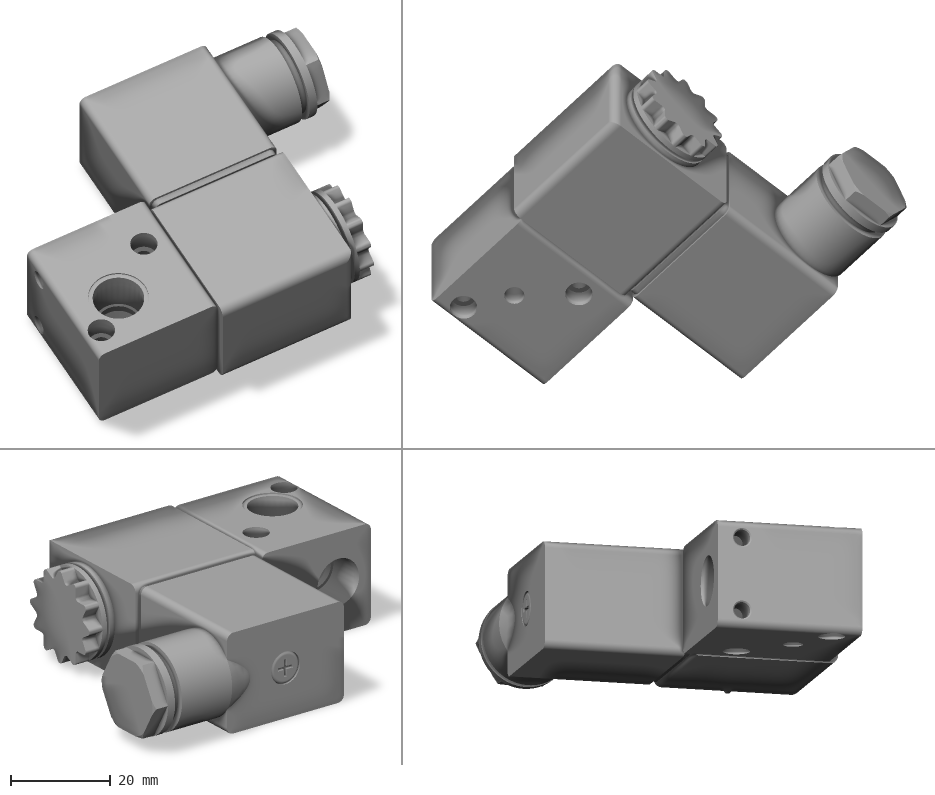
import cadquery as cq
import math


HEIGHT = 22.0
EDGE_RADIUS = 1.5
TOTAL_LENGTH = 62.4
TOTAL_DEPTH = 75.9
DRILL_TIP_HALF_ANGLE = 59.0
TOP = HEIGHT / 2

BODY_LENGTH = 30.0
BODY_DEPTH = 27.1
MOUNT_HOLE_DIAMETER = 3.4
MOUNT_BORE_DIAMETER = 5.5
MOUNT_BORE_DEPTH = 4.55
MOUNT_PLACES = [(9.6, 21.5), (24.5, 3.6)]
PORT_DIAMETER = 10.3
PORT_LEDGE_DIAMETER = 9.9
PORT_CORE_DIAMETER = 8.65
PORT_TAPER_DEPTH = 8.35
PORT_DEPTH = 9.9
SPOTFACE_DIAMETER = 12.15
SPOTFACE_DEPTH = 0.3
TOP_PORT_Y = 10.55
SIDE_PORT_Y = 8.1
PASSAGE_DIAMETER = 4.0
PASSAGE_Y = 12.5
FRONT_HOLE_DIAMETER = 3.9
FRONT_HOLE_CORE = 3.35
FRONT_HOLE_DEPTH = 6.1
FRONT_HOLE_X = 5.1
FRONT_HOLE_SPACING = 14.9

COIL_LEFT = 2.0
COIL_RIGHT = 32.2
COIL_DEPTH = 30.0
COIL_END_RADIUS = 1.75
COIL_BACK = BODY_DEPTH + COIL_DEPTH
NUT_X = 18.9
NUT_DIAMETER = 20.0
NUT_NECK_DIAMETER = 14.05
WASHER_THICKNESS = 1.2
NUT_NECK_LENGTH = 0.75
NUT_FLANGE_THICKNESS = 1.15
TOOTH_COUNT = 12
TOOTH_LENGTH = 3.3
TOOTH_DEPTH = 2.2
TOOTH_TIP_HALF_WIDTH = 0.45
TOOTH_FLANK_ANGLE = 30.0
TOOTH_ROUNDING = 0.6

CONNECTOR_LEFT = -28.5
CONNECTOR_RIGHT = 0.6
CONNECTOR_FRONT = 27.6
CONNECTOR_DEPTH = 29.1
CONNECTOR_BACK = CONNECTOR_FRONT + CONNECTOR_DEPTH
GASKET_INSET = 0.5
GLAND_DIAMETER = 18.75
GLAND_X = COIL_RIGHT - TOTAL_LENGTH + GLAND_DIAMETER / 2
GLAND_LENGTH = 12.45
GLAND_NECK_DIAMETER = 15.95
GLAND_NECK_LENGTH = 1.75
GLAND_FLANGE_THICKNESS = 1.75
GLAND_CONE_LENGTH = 5.8
HEX_SIDES = 6
HEX_HALF_SECTOR = 180 / HEX_SIDES
HEX_ACROSS_FLATS = 16.0
HEX_CHAMFER_DIAMETER = 17.0
HEX_CHAMFER_ANGLE = 30.0
SCREW_Y = CONNECTOR_FRONT + CONNECTOR_DEPTH / 2
SCREW_DIAMETER = 7.1
SCREW_ROUNDING = 0.75
SCREW_RECESS_DEPTH = 0.8
CROSS_LENGTH = 3.8
CROSS_WIDTH = 0.7
CROSS_DEPTH = 0.75


def block(left, right, front, back, height=HEIGHT):
    """Box centred on the middle height."""
    return (
        cq.Workplane("XY")
        .box(right - left, back - front, height, centered=False)
        .translate((left, front, -height / 2))
    )


def drum(x, start, length, diameter):
    """Cylinder along +Y on the middle height, starting at the given depth."""
    axis = cq.Vector(0, 1, 0)
    return cq.Workplane(cq.Solid.makeCylinder(diameter / 2, length, cq.Vector(x, start, 0), axis))


def tapered_bore(mouth, direction, mouth_diameter, inner_diameter, depth):
    """Cone frustum going in from the mouth along the direction."""
    return cq.Solid.makeCone(
        mouth_diameter / 2, inner_diameter / 2, depth, cq.Vector(*mouth), cq.Vector(*direction)
    )


def port(mouth, direction):
    """Tapered connection port whose narrower core ends in a drill point."""
    origin = cq.Vector(*mouth)
    axis = cq.Vector(*direction)
    radius = PORT_CORE_DIAMETER / 2
    tip_length = radius / math.tan(math.radians(DRILL_TIP_HALF_ANGLE))
    taper = tapered_bore(mouth, direction, PORT_DIAMETER, PORT_LEDGE_DIAMETER, PORT_TAPER_DEPTH)
    core = cq.Solid.makeCylinder(radius, PORT_DEPTH, origin, axis)
    tip = cq.Solid.makeCone(radius, 0, tip_length, origin + axis * PORT_DEPTH, axis)
    return cq.Workplane(taper.fuse(core).fuse(tip))


def make_valve_body():
    body = block(0, BODY_LENGTH, 0, BODY_DEPTH).edges("|X").fillet(EDGE_RADIUS)

    through = cq.Workplane("XY", origin=(0, 0, -TOP)).pushPoints(MOUNT_PLACES)
    body = body.cut(through.circle(MOUNT_HOLE_DIAMETER / 2).extrude(HEIGHT))
    for bottom in (TOP - MOUNT_BORE_DEPTH, -TOP):
        bores = cq.Workplane("XY", origin=(0, 0, bottom)).pushPoints(MOUNT_PLACES)
        body = body.cut(bores.circle(MOUNT_BORE_DIAMETER / 2).extrude(MOUNT_BORE_DEPTH))

    spotface_floor = TOP - SPOTFACE_DEPTH
    spotface = cq.Workplane("XY", origin=(NUT_X, TOP_PORT_Y, spotface_floor))
    body = body.cut(spotface.circle(SPOTFACE_DIAMETER / 2).extrude(SPOTFACE_DEPTH))
    body = body.cut(port((NUT_X, TOP_PORT_Y, spotface_floor), (0, 0, -1)))
    passage = cq.Workplane("XY", origin=(NUT_X, PASSAGE_Y, -TOP))
    body = body.cut(passage.circle(PASSAGE_DIAMETER / 2).extrude(HEIGHT))

    body = body.cut(port((0, SIDE_PORT_Y, 0), (1, 0, 0)))

    lead_in = (FRONT_HOLE_DIAMETER - FRONT_HOLE_CORE) / 2
    for side in (-1, 1):
        mouth = (FRONT_HOLE_X, 0, side * FRONT_HOLE_SPACING / 2)
        chamfer = tapered_bore(mouth, (0, 1, 0), FRONT_HOLE_DIAMETER, FRONT_HOLE_CORE, lead_in)
        bore = cq.Solid.makeCylinder(
            FRONT_HOLE_CORE / 2, FRONT_HOLE_DEPTH, cq.Vector(*mouth), cq.Vector(0, 1, 0)
        )
        body = body.cut(cq.Workplane(bore.fuse(chamfer)))
    return body


def make_nut_teeth(start):
    """Ring of tapered grip teeth, one of them pointing straight up."""
    tip_radius = NUT_DIAMETER / 2
    root_radius = tip_radius - TOOTH_DEPTH
    root_half_width = TOOTH_TIP_HALF_WIDTH + TOOTH_DEPTH * math.tan(math.radians(TOOTH_FLANK_ANGLE))
    profile = [
        (root_radius, -root_half_width),
        (tip_radius, -TOOTH_TIP_HALF_WIDTH),
        (tip_radius, TOOTH_TIP_HALF_WIDTH),
        (root_radius, root_half_width),
    ]
    outline = []
    for tooth in range(TOOTH_COUNT):
        angle = 2 * math.pi * tooth / TOOTH_COUNT
        for out, across in profile:
            outline.append(
                (
                    out * math.cos(angle) - across * math.sin(angle),
                    out * math.sin(angle) + across * math.cos(angle),
                )
            )
    teeth = cq.Workplane("XZ", origin=(NUT_X, start, 0)).polyline(outline).close().extrude(-TOOTH_LENGTH)
    return teeth.edges("|Y").fillet(TOOTH_ROUNDING)


def make_coil():
    coil = block(COIL_LEFT, COIL_RIGHT, BODY_DEPTH, COIL_BACK)
    coil = coil.edges("|Y and <X").fillet(EDGE_RADIUS)
    coil = coil.edges("(|Y and >X) or (|Z and >X and >Y)").fillet(COIL_END_RADIUS)

    start = COIL_BACK
    for diameter, length in (
        (NUT_DIAMETER, WASHER_THICKNESS),
        (NUT_NECK_DIAMETER, NUT_NECK_LENGTH),
        (NUT_DIAMETER, NUT_FLANGE_THICKNESS),
    ):
        coil = coil.union(drum(NUT_X, start, length, diameter))
        start += length
    return coil.union(make_nut_teeth(start))


def make_hex_cap(start):
    """Hexagonal end of the gland, its corners chamfered at the outer end."""
    length = TOTAL_DEPTH - start
    corner_diameter = HEX_ACROSS_FLATS / math.cos(math.radians(HEX_HALF_SECTOR))
    cap = cq.Workplane("XZ", origin=(GLAND_X, start, 0)).polygon(HEX_SIDES, corner_diameter).extrude(-length)
    spread = length / math.tan(math.radians(HEX_CHAMFER_ANGLE))
    end_radius = HEX_CHAMFER_DIAMETER / 2
    cone = cq.Solid.makeCone(
        end_radius + spread, end_radius, length, cq.Vector(GLAND_X, start, 0), cq.Vector(0, 1, 0)
    )
    return cap.intersect(cq.Workplane(cone))


def make_gland():
    """Round cable gland: a cone running out in the connector's side, the barrel, a groove and a hex cap."""
    flush_radius = GLAND_X - CONNECTOR_LEFT
    cone = cq.Solid.makeCone(
        GLAND_DIAMETER / 2,
        flush_radius,
        GLAND_CONE_LENGTH,
        cq.Vector(GLAND_X, CONNECTOR_BACK, 0),
        cq.Vector(0, -1, 0),
    )
    gland = cq.Workplane(cone)
    start = CONNECTOR_BACK
    for diameter, length in (
        (GLAND_DIAMETER, GLAND_LENGTH),
        (GLAND_NECK_DIAMETER, GLAND_NECK_LENGTH),
        (GLAND_DIAMETER, GLAND_FLANGE_THICKNESS),
    ):
        gland = gland.union(drum(GLAND_X, start, length, diameter))
        start += length
    return gland.union(make_hex_cap(start))


def cut_screw_head(connector):
    """Flush cross-slotted screw head, outlined by the groove round its rounded rim."""
    inward = cq.Vector(1, 0, 0)
    centre = cq.Vector(CONNECTOR_LEFT, SCREW_Y, 0)
    recess = cq.Solid.makeCylinder(SCREW_DIAMETER / 2, SCREW_RECESS_DEPTH, centre, inward)
    head = cq.Workplane(recess).faces("<X").edges().fillet(SCREW_ROUNDING)
    connector = connector.cut(cq.Workplane(recess).cut(head))
    for width, height in ((CROSS_LENGTH, CROSS_WIDTH), (CROSS_WIDTH, CROSS_LENGTH)):
        slot = cq.Workplane("YZ", origin=centre.toTuple()).rect(width, height).extrude(CROSS_DEPTH)
        connector = connector.cut(slot)
    return connector


def make_connector():
    connector = block(CONNECTOR_LEFT, CONNECTOR_RIGHT, CONNECTOR_FRONT, CONNECTOR_BACK)
    connector = connector.edges("|X").fillet(EDGE_RADIUS)
    gasket = block(
        CONNECTOR_RIGHT,
        COIL_LEFT,
        CONNECTOR_FRONT + GASKET_INSET,
        CONNECTOR_BACK - GASKET_INSET,
        HEIGHT - 2 * GASKET_INSET,
    )
    gasket = gasket.edges("|X").fillet(EDGE_RADIUS)
    connector = connector.union(gasket).union(make_gland())
    return cut_screw_head(connector)


valve_body = make_valve_body()
coil = make_coil()
connector = make_connector()

result = cq.Compound.makeCompound([valve_body.val(), coil.val(), connector.val()])